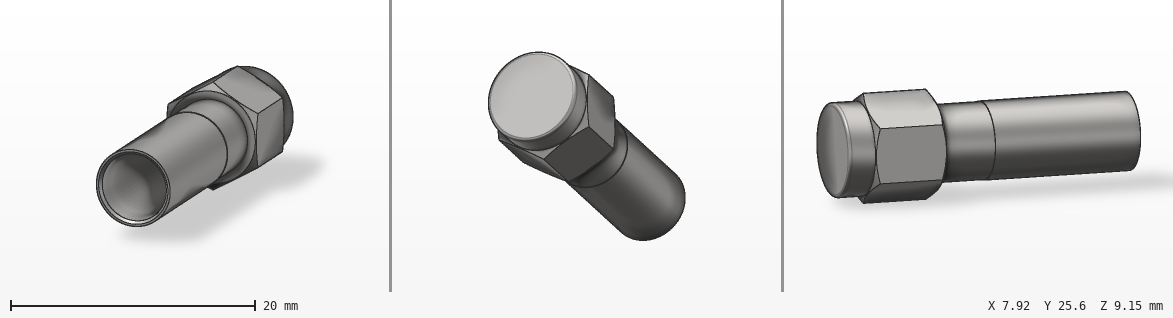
import cadquery as cq
import math


total_length = 25.65
sleeve_length = 12.65
neck_length = 4.5
hex_length = 6.2
collar_length = total_length - sleeve_length - neck_length - hex_length

sleeve_diameter = 6.5
sleeve_bore_diameter = 5.64
sleeve_mouth_diameter = 6.1
neck_diameter = 6.4
collar_diameter = 7.8
stem_diameter = 4.6
stem_tip_diameter = 3.72
stem_taper_angle = 30

hex_across_flats = 7.92
hex_across_corners = hex_across_flats / math.cos(math.radians(30))
hex_face_diameter = 7.78
hex_chamfer_angle = 30

collar_edge_radius = 0.25

neck_start = sleeve_length
hex_start = neck_start + neck_length
collar_start = hex_start + hex_length


def cylinder(diameter, start, length):
    """Solid cylinder along +Y, beginning at Y = start."""
    axis_start = cq.Vector(0, start, 0)
    return cq.Workplane(cq.Solid.makeCylinder(diameter / 2, length, axis_start, cq.Vector(0, 1, 0)))


def cone(start_diameter, end_diameter, start, length):
    """Solid truncated cone along +Y, beginning at Y = start."""
    axis_start = cq.Vector(0, start, 0)
    return cq.Workplane(
        cq.Solid.makeCone(start_diameter / 2, end_diameter / 2, length, axis_start, cq.Vector(0, 1, 0))
    )


def make_sleeve():
    """Crimp sleeve: a tube with a 45 degree chamfer inside its mouth."""
    mouth_depth = (sleeve_mouth_diameter - sleeve_bore_diameter) / 2
    bore = cylinder(sleeve_bore_diameter, 0, sleeve_length)
    mouth = cone(sleeve_mouth_diameter, sleeve_bore_diameter, 0, mouth_depth)
    return cylinder(sleeve_diameter, 0, sleeve_length).cut(bore).cut(mouth)


def make_stem():
    """Tapered stem on the floor of the sleeve bore, narrowing towards the mouth."""
    taper_height = (stem_diameter - stem_tip_diameter) / 2
    taper_length = taper_height / math.tan(math.radians(stem_taper_angle))
    return cone(stem_tip_diameter, stem_diameter, neck_start - taper_length, taper_length)


def make_hex():
    """Hexagon with flats on the X sides and its corners turned off conically at both ends."""
    corner_height = (hex_across_corners - hex_face_diameter) / 2
    chamfer_length = corner_height * math.tan(math.radians(hex_chamfer_angle))
    prism = (
        cq.Workplane("XZ", origin=(0, hex_start, 0))
        .transformed(rotate=(0, 0, 90))
        .polygon(6, hex_across_corners)
        .extrude(-hex_length)
    )
    rear = cone(hex_face_diameter, hex_across_corners, hex_start, chamfer_length)
    middle = cylinder(hex_across_corners, hex_start + chamfer_length, hex_length - 2 * chamfer_length)
    front = cone(hex_across_corners, hex_face_diameter, collar_start - chamfer_length, chamfer_length)
    return prism.intersect(rear.union(middle).union(front))


def make_collar():
    """Round front of the nut, with a rounded front edge."""
    collar = cylinder(collar_diameter, collar_start, collar_length)
    return collar.faces(">Y").edges().fillet(collar_edge_radius)


neck = cylinder(neck_diameter, neck_start, neck_length)

result = make_sleeve().union(neck).union(make_stem()).union(make_hex()).union(make_collar())